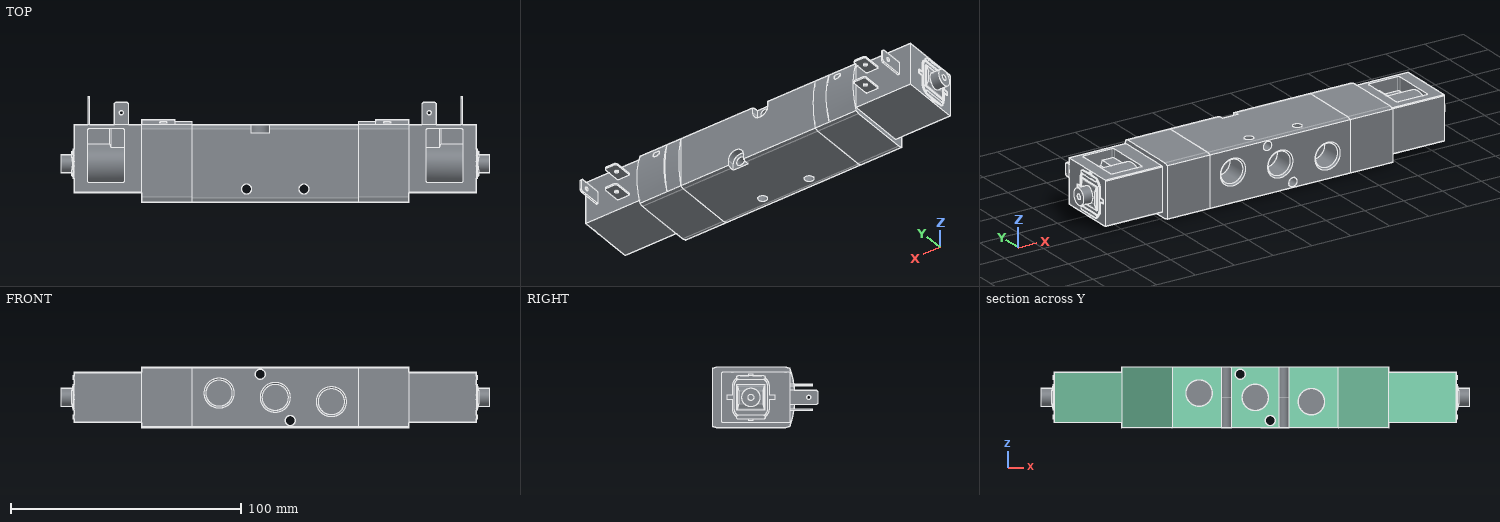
import cadquery as cq


TOTAL_LENGTH = 186.1
BODY_LENGTH = 72.2
CAP_LENGTH = 22.0
STEM_LENGTH = 5.8

SECTION_HEIGHT = 26.5
FRONT_Y = -16.7
BACK_Y = 17.0
BEVEL_DROP = 0.5
BODY_BEVEL_WIDTH = 1.9
CAP_FRONT_BEVEL_WIDTH = 2.2
CAP_BULGE = 2.2
CAP_INNER_BULGE = 1.5
CAP_INNER_LENGTH = 7.5
CAP_DIMPLE_DIAMETER = 3.3
CAP_DIMPLE_FLOOR_RISE = 0.7
CAP_DIMPLE_END_GAP = 9.5
CAP_DIMPLE_Z = 9.3

PORT_DIAMETER = 11.4
PORT_RIM_DIAMETER = 13.0
PORT_DEPTH = 11.2
PORT_SPACING = 24.4
PORT_STAGGER = 1.9
MOUNT_DIAMETER = 4.3
CROSS_HOLE_X = 6.5
CROSS_HOLE_Z = 10.0
HEAD_SLOT_WIDTH = 8.0
HEAD_SLOT_DEPTH = 3.5
UPRIGHT_HOLE_X = 12.5
UPRIGHT_HOLE_Y = -11.0

SOLENOID_HEIGHT = 22.0
SOLENOID_FRONT_Y = -12.7
SOLENOID_EDGE = 0.4
WINDOW_LENGTH = 16.0
WINDOW_END_GAP = 5.8
WINDOW_FRONT_Y = -8.2
WINDOW_BACK_Y = 15.3
WINDOW_CORNER = 0.7
WINDOW_FLOOR_Z = 4.3
COIL_DIAMETER = 19.4
BLOCK_TOP_LENGTH = 5.8
BLOCK_FOOT_LENGTH = 6.5
BLOCK_TOP_Z = 6.7

STEM_DIAMETER = 8.0
STEM_HOLE_DIAMETER = 2.6
STEM_HOLE_DEPTH = 1.9
PLINTH_SIZE = (12.3, 11.2)
PLINTH_HEIGHT = 0.5
PEDESTAL_BASE_SIZE = (11.5, 10.0)
PEDESTAL_TOP_SIZE = (10.5, 5.5)
PEDESTAL_HEIGHT = 0.5
BAR_LENGTH = 12.7
BAR_WIDTH = 1.7
BAR_HEIGHT = 0.5
BAR_Z = 8.5
BEZEL_WIDTH = 16.0
BEZEL_HEIGHT = 18.6
BEZEL_CORNER = 4.5
BEZEL_GROOVE_WIDTH = 0.7
BEZEL_GROOVE_DEPTH = 0.4
BEZEL_NOTCH_WIDTH = 1.9
BEZEL_NOTCH_SPAN = (20.8, 20.1)

BLADE_WIDTH = 6.3
BLADE_THICKNESS = 0.8
BLADE_TIP_CHAMFER = 0.7
BLADE_HOLE_DIAMETER = 1.75
GROUND_TIP_Y = 29.2
GROUND_HOLE_Y = 25.1
GROUND_END_GAP = 6.3
CONTACT_TIP_Y = 26.8
CONTACT_HOLE_Y = 22.1
CONTACT_END_GAP = 20.5
CONTACT_Z = 5.4

HALF_HEIGHT = SECTION_HEIGHT / 2
SHOULDER_Z = HALF_HEIGHT - BEVEL_DROP
BODY_END_X = BODY_LENGTH / 2
CAP_END_X = BODY_END_X + CAP_LENGTH
SOLENOID_END_X = TOTAL_LENGTH / 2 - STEM_LENGTH
SOLENOID_TOP_Z = SOLENOID_HEIGHT / 2
SECTION_DEPTH = BACK_Y - FRONT_Y


def section_outline(front_bevel_width):
    """Start the bevelled section in the YZ plane, open along its back face."""
    return (
        cq.Workplane("YZ")
        .moveTo(BACK_Y, -SHOULDER_Z)
        .lineTo(BACK_Y - BODY_BEVEL_WIDTH, -HALF_HEIGHT)
        .lineTo(FRONT_Y + front_bevel_width, -HALF_HEIGHT)
        .lineTo(FRONT_Y, -SHOULDER_Z)
        .lineTo(FRONT_Y, SHOULDER_Z)
        .lineTo(FRONT_Y + front_bevel_width, HALF_HEIGHT)
        .lineTo(BACK_Y - BODY_BEVEL_WIDTH, HALF_HEIGHT)
        .lineTo(BACK_Y, SHOULDER_Z)
    )


def port(x, z):
    """Port cutter: a blind bore with a 45 degree chamfer at the front face."""
    rim_depth = (PORT_RIM_DIAMETER - PORT_DIAMETER) / 2
    return (
        cq.Workplane("XY")
        .lineTo(PORT_RIM_DIAMETER / 2, 0)
        .lineTo(PORT_DIAMETER / 2, rim_depth)
        .lineTo(PORT_DIAMETER / 2, PORT_DEPTH)
        .lineTo(0, PORT_DEPTH)
        .close()
        .revolve(360, (0, 0, 0), (0, 1, 0))
        .translate((x, FRONT_Y, z))
    )


def head_slot(x, side):
    """Round-bottomed screw head slot at the back, open to the top (side 1) or bottom (side -1)."""
    disc = cq.Workplane("XY").circle(HEAD_SLOT_WIDTH / 2).extrude(HEAD_SLOT_DEPTH)
    opening = cq.Workplane("XY").box(
        HEAD_SLOT_WIDTH, HEAD_SLOT_WIDTH, HEAD_SLOT_DEPTH, centered=(True, False, False)
    )
    slot = disc.union(opening).rotate((0, 0, 0), (1, 0, 0), 90)
    if side < 0:
        slot = slot.mirror("XY")
    return slot.translate((x, BACK_Y, side * CROSS_HOLE_Z))


def make_body():
    body = section_outline(BODY_BEVEL_WIDTH).close().extrude(BODY_END_X, both=True)
    for step in (-1, 0, 1):
        body = body.cut(port(step * PORT_SPACING, -step * PORT_STAGGER))
    for side in (1, -1):
        cross_hole = (
            cq.Workplane("XZ", origin=(-side * CROSS_HOLE_X, BACK_Y, side * CROSS_HOLE_Z))
            .circle(MOUNT_DIAMETER / 2)
            .extrude(SECTION_DEPTH)
        )
        body = body.cut(cross_hole).cut(head_slot(-side * CROSS_HOLE_X, side))
        upright_hole = (
            cq.Workplane("XY")
            .center(side * UPRIGHT_HOLE_X, UPRIGHT_HOLE_Y)
            .circle(MOUNT_DIAMETER / 2)
            .extrude(HALF_HEIGHT, both=True)
        )
        body = body.cut(upright_hole)
    return body


def cap_slab(bulge, length):
    """Cap section with an arched back face, starting at X = 0."""
    return (
        section_outline(CAP_FRONT_BEVEL_WIDTH)
        .threePointArc((BACK_Y + bulge, 0), (BACK_Y, -SHOULDER_Z))
        .close()
        .extrude(length)
    )


def make_cap():
    """Cap on the +X side: a low arch next to the body, then a taller arch with a dimple."""
    outer_length = CAP_LENGTH - CAP_INNER_LENGTH
    outer_x = BODY_END_X + CAP_INNER_LENGTH
    inner = cap_slab(CAP_INNER_BULGE, CAP_INNER_LENGTH).translate((BODY_END_X, 0, 0))
    outer = cap_slab(CAP_BULGE, outer_length).translate((outer_x, 0, 0))
    dimple_x = CAP_END_X - CAP_DIMPLE_END_GAP
    dimple_floor_y = BACK_Y + CAP_DIMPLE_FLOOR_RISE
    dimple = (
        cq.Workplane("XZ", origin=(dimple_x, dimple_floor_y, CAP_DIMPLE_Z))
        .circle(CAP_DIMPLE_DIAMETER / 2)
        .extrude(-CAP_BULGE)
    )
    return inner.union(outer).cut(dimple)


def coil_window():
    """Window cutter: the opening in the top, less the coil and the sloped block left standing in it."""
    outer_x = SOLENOID_END_X - WINDOW_END_GAP
    inner_x = outer_x - WINDOW_LENGTH
    width = WINDOW_BACK_Y - WINDOW_FRONT_Y
    opening = (
        cq.Workplane("XY", origin=(inner_x, WINDOW_FRONT_Y, WINDOW_FLOOR_Z))
        .box(WINDOW_LENGTH, width, SOLENOID_TOP_Z - WINDOW_FLOOR_Z, centered=False)
        .edges("|Z")
        .fillet(WINDOW_CORNER)
    )
    coil = cq.Workplane("YZ", origin=(inner_x, 0, 0)).circle(COIL_DIAMETER / 2).extrude(WINDOW_LENGTH)
    block = (
        cq.Workplane("XZ")
        .moveTo(inner_x, WINDOW_FLOOR_Z)
        .lineTo(inner_x + BLOCK_FOOT_LENGTH, WINDOW_FLOOR_Z)
        .lineTo(inner_x + BLOCK_TOP_LENGTH, BLOCK_TOP_Z)
        .lineTo(inner_x, BLOCK_TOP_Z)
        .close()
        .extrude(-WINDOW_BACK_Y)
    )
    return opening.cut(coil).cut(block)


def bezel_groove():
    """Shallow outline groove on the end face, with a small notch outside each of its sides."""
    floor = cq.Workplane("YZ", origin=(SOLENOID_END_X - BEZEL_GROOVE_DEPTH, 0, 0))
    bezel = floor.rect(BEZEL_WIDTH, BEZEL_HEIGHT).extrude(BEZEL_GROOVE_DEPTH)
    bezel = bezel.edges("|X").fillet(BEZEL_CORNER)
    inner_width = BEZEL_WIDTH - 2 * BEZEL_GROOVE_WIDTH
    inner_height = BEZEL_HEIGHT - 2 * BEZEL_GROOVE_WIDTH
    island = floor.rect(inner_width, inner_height).extrude(BEZEL_GROOVE_DEPTH)
    island = island.edges("|X").fillet(BEZEL_CORNER - BEZEL_GROOVE_WIDTH)
    notch_span_y, notch_span_z = BEZEL_NOTCH_SPAN
    notches = floor.rect(notch_span_y, BEZEL_NOTCH_WIDTH).extrude(BEZEL_GROOVE_DEPTH)
    notches = notches.union(floor.rect(BEZEL_NOTCH_WIDTH, notch_span_z).extrude(BEZEL_GROOVE_DEPTH))
    return bezel.union(notches).cut(island)


def stem_and_bezel():
    """Raised details of the end face: two bars, a stepped pedestal and the drilled stem."""
    face = cq.Workplane("YZ", origin=(SOLENOID_END_X, 0, 0))
    plinth = face.rect(*PLINTH_SIZE).extrude(PLINTH_HEIGHT)
    pedestal = (
        face.workplane(offset=PLINTH_HEIGHT)
        .rect(*PEDESTAL_BASE_SIZE)
        .workplane(offset=PEDESTAL_HEIGHT)
        .rect(*PEDESTAL_TOP_SIZE)
        .loft()
    )
    bars = (
        face.pushPoints([(0, BAR_Z), (0, -BAR_Z)]).slot2D(BAR_LENGTH, BAR_WIDTH).extrude(BAR_HEIGHT)
    )
    stem = (
        face.circle(STEM_DIAMETER / 2)
        .extrude(STEM_LENGTH)
        .faces(">X")
        .workplane()
        .hole(STEM_HOLE_DIAMETER, STEM_HOLE_DEPTH)
    )
    return plinth.union(pedestal).union(bars).union(stem)


def blade(tip_y, hole_y):
    """Flat terminal lying in the XY plane, rising from the housing back to tip_y."""
    return (
        cq.Workplane("XY", origin=(0, BACK_Y, 0))
        .box(BLADE_WIDTH, tip_y - BACK_Y, BLADE_THICKNESS, centered=(True, False, True))
        .edges(">Y and |Z")
        .chamfer(BLADE_TIP_CHAMFER)
        .cut(
            cq.Workplane("XY", origin=(0, hole_y, 0))
            .circle(BLADE_HOLE_DIAMETER / 2)
            .extrude(BLADE_THICKNESS, both=True)
        )
    )


def make_solenoid():
    """Solenoid on the +X side, with its stem and three terminals."""
    solenoid = (
        cq.Workplane("XY", origin=(CAP_END_X, SOLENOID_FRONT_Y, 0))
        .box(
            SOLENOID_END_X - CAP_END_X,
            BACK_Y - SOLENOID_FRONT_Y,
            SOLENOID_HEIGHT,
            centered=(False, False, True),
        )
        .edges("<Y and |X")
        .chamfer(SOLENOID_EDGE)
    )
    solenoid = solenoid.cut(coil_window()).cut(bezel_groove()).union(stem_and_bezel())
    ground = blade(GROUND_TIP_Y, GROUND_HOLE_Y).rotate((0, 0, 0), (0, 1, 0), 90)
    solenoid = solenoid.union(ground.translate((SOLENOID_END_X - GROUND_END_GAP, 0, 0)))
    contact = blade(CONTACT_TIP_Y, CONTACT_HOLE_Y)
    for side in (1, -1):
        place = (SOLENOID_END_X - CONTACT_END_GAP, 0, side * CONTACT_Z)
        solenoid = solenoid.union(contact.translate(place))
    return solenoid


body = make_body()
right_cap = make_cap()
right_solenoid = make_solenoid()
caps = [right_cap.solids().val()]
solenoids = [right_solenoid.solids().val()]
caps.append(right_cap.mirror("YZ").solids().val())
solenoids.append(right_solenoid.mirror("YZ").solids().val())

result = cq.Compound.makeCompound([body.solids().val(), *caps, *solenoids])